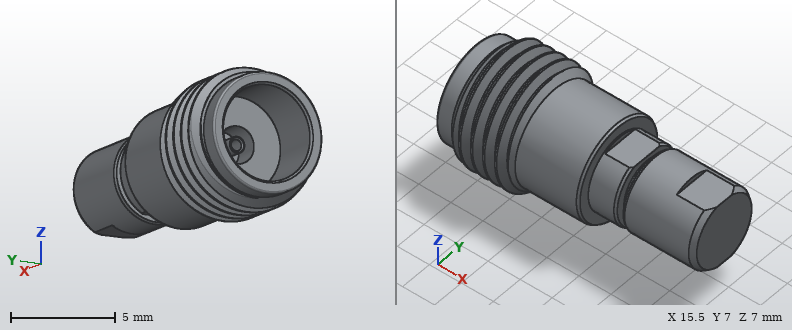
import cadquery as cq
import math


length = 15.49
barrel_radius = 2.985
neck_radius = 2.28
groove_radius = 1.71

barrel_end = 8.9
groove_start = 10.65
groove_end = 11.02

mouth_rim_fillet = 0.1
barrel_end_chamfer_length = 0.15
barrel_end_chamfer_depth = 0.09
groove_chamfer_length = 0.15
groove_chamfer_depth = 0.08
tail_chamfer_length = 0.32
tail_chamfer_depth = 0.22

across_flats = 3.97
neck_flat_start = 8.98
tail_flat_start = 13.46

thread_start = 0.95
thread_end = 4.92
thread_radius = 3.5
thread_pitch = 0.75
thread_chamfer_length = 0.55
crest_flat = 0.11
thread_depth = 0.46
flank_angle = 30
first_groove_at_top = 1.33

bore_radius = 2.37
bore_depth = 3.05
bore_chamfer = 0.11
air_line_radius = 0.925
air_line_depth = 1.5
contact_radius = 0.41
contact_hole_radius = 0.28
contact_hole_depth = 1.5
contact_hole_chamfer = 0.09


def revolve_about_x(points):
    """Turn an (x, radius) outline about the X axis."""
    return cq.Workplane("XY").polyline(points).close().revolve(360, (0, 0, 0), (1, 0, 0))


def make_body():
    """Stepped outer shape: barrel, neck, snap groove and tail."""
    groove_lip_radius = neck_radius - groove_chamfer_depth
    body = revolve_about_x([
        (0, 0),
        (0, barrel_radius),
        (barrel_end - barrel_end_chamfer_length, barrel_radius),
        (barrel_end, barrel_radius - barrel_end_chamfer_depth),
        (barrel_end, neck_radius),
        (groove_start - groove_chamfer_length, neck_radius),
        (groove_start, groove_lip_radius),
        (groove_start, groove_radius),
        (groove_end, groove_radius),
        (groove_end, groove_lip_radius),
        (groove_end + groove_chamfer_length, neck_radius),
        (length - tail_chamfer_length, neck_radius),
        (length, neck_radius - tail_chamfer_depth),
        (length, 0),
    ])
    return body.faces("<X").edges().fillet(mouth_rim_fillet)


def make_thread_blank():
    """Collar with bevelled ends that the thread is cut into."""
    return revolve_about_x([
        (thread_start, 0),
        (thread_start, barrel_radius),
        (thread_start + thread_chamfer_length, thread_radius),
        (thread_end - thread_chamfer_length, thread_radius),
        (thread_end, barrel_radius),
        (thread_end, 0),
    ])


def make_thread_groove():
    """Right-hand helical V groove that runs out past both ends of the collar."""
    overcut = 0.1
    root_radius = thread_radius - thread_depth
    outer_radius = thread_radius + overcut
    flank_slope = math.tan(math.radians(flank_angle))
    root_half_width = (thread_pitch - crest_flat) / 2 - thread_depth * flank_slope
    outer_half_width = root_half_width + (thread_depth + overcut) * flank_slope

    first_groove = first_groove_at_top - thread_pitch
    turns = math.ceil((thread_end - first_groove) / thread_pitch) + 1
    helix = cq.Wire.makeHelix(
        thread_pitch, turns * thread_pitch, root_radius,
        center=cq.Vector(0, 0, 0), dir=cq.Vector(0, 0, 1),
    )
    groove = (
        cq.Workplane("XZ")
        .polyline([
            (root_radius, -root_half_width),
            (outer_radius, -outer_half_width),
            (outer_radius, outer_half_width),
            (root_radius, root_half_width),
        ])
        .close()
        .sweep(cq.Workplane(obj=helix), isFrenet=True)
    )
    return (
        groove
        .rotate((0, 0, 0), (0, 1, 0), 90)
        .rotate((0, 0, 0), (1, 0, 0), 180)
        .translate((first_groove, 0, 0))
    )


def cut_flats(body, start, end):
    """Mill a pair of opposite flats between two stations along X."""
    flat_depth = neck_radius
    for side in (1, -1):
        cutter = cq.Workplane("XY").box(end - start, 2 * neck_radius, flat_depth)
        cutter = cutter.translate(((start + end) / 2, 0, side * (across_flats + flat_depth) / 2))
        body = body.cut(cutter)
    return body


def make_mouth_bore():
    """Bore of the jack with a bevelled entry."""
    return revolve_about_x([
        (0, 0),
        (0, bore_radius + bore_chamfer),
        (bore_chamfer, bore_radius),
        (bore_depth, bore_radius),
        (bore_depth, 0),
    ])


def make_air_line():
    """Ring-shaped gap around the centre contact, whose tip is flush with the bore floor."""
    return revolve_about_x([
        (bore_depth, contact_radius),
        (bore_depth, air_line_radius),
        (bore_depth + air_line_depth, air_line_radius),
        (bore_depth + air_line_depth, contact_radius),
    ])


def make_contact_hole():
    """Blind hole in the tip of the centre contact, with a bevelled entry."""
    return revolve_about_x([
        (bore_depth, 0),
        (bore_depth, contact_hole_radius + contact_hole_chamfer),
        (bore_depth + contact_hole_chamfer, contact_hole_radius),
        (bore_depth + contact_hole_depth, contact_hole_radius),
        (bore_depth + contact_hole_depth, 0),
    ])


thread = make_thread_blank().cut(make_thread_groove())
result = make_body().union(thread)
result = cut_flats(result, neck_flat_start, groove_start)
result = cut_flats(result, tail_flat_start, length)
for cavity in (make_mouth_bore(), make_air_line(), make_contact_hole()):
    result = result.cut(cavity)